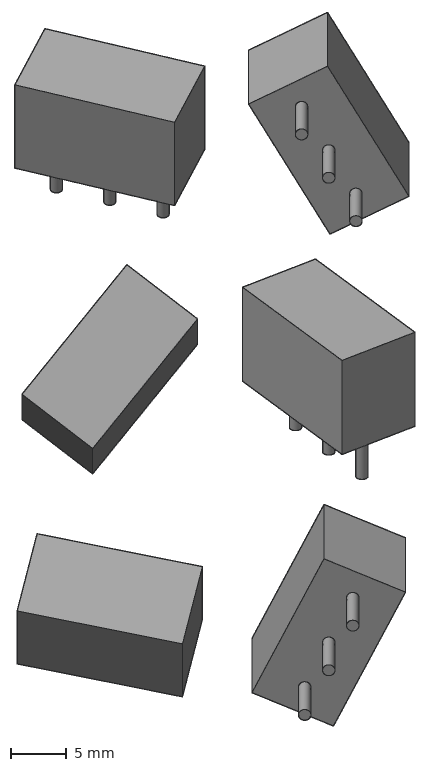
import cadquery as cq

housing_length = 15.24
housing_width = 8.1
housing_height = 10.0

pin_count = 3
pin_pitch = 5.08
pin_diameter = 1.12
pin_length = 5.1


def make_housing():
    """Plain block with its underside on z = 0."""
    return cq.Workplane("XY").box(
        housing_length, housing_width, housing_height, centered=(True, True, False)
    )


def make_pin(x):
    """Round pin hanging from the underside of the housing."""
    return cq.Workplane("XY").center(x, 0).circle(pin_diameter / 2).extrude(-pin_length)


housing = make_housing()

first_pin_x = -pin_pitch * (pin_count - 1) / 2
pins = [make_pin(first_pin_x + i * pin_pitch) for i in range(pin_count)]

result = cq.Compound.makeCompound([housing.val(), *[pin.val() for pin in pins]])